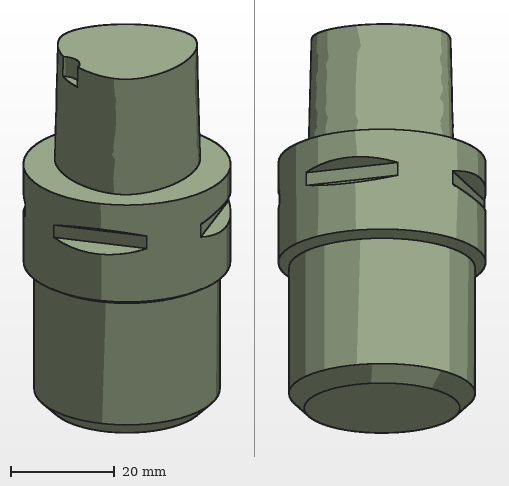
import cadquery as cq
import math

total_height = 74.0
taper_length = 24.0
collar_base = 29.7
collar_top = total_height - taper_length

collar_radius = 40.0 / 2
shank_radius = 36.0 / 2
shank_chamfer = 2.95
shoulder_angle = 60.0

lobe_base_radius = 14.05
taper_ratio = 1 / 40
lobe_top_radius = lobe_base_radius - taper_ratio * taper_length
lobe_eccentricity = 0.9
first_lobe_angle = math.radians(90)
curve_steps = 72

slot_count = 4
slot_start_angle = 45.0
slot_center_height = 42.0
slot_floor_height = 2.6
slot_floor_distance = 17.7
slot_flank_angle = 30.0

notch_radius = 3.6
notch_depth = 4.15
notch_inner_y = -10.9


def make_body():
    """Revolve the shank and the collar."""
    shoulder_width = collar_radius - shank_radius
    shoulder_base = collar_base - shoulder_width / math.tan(math.radians(shoulder_angle))
    profile = [
        (0, 0),
        (shank_radius - shank_chamfer, 0),
        (shank_radius, shank_chamfer),
        (shank_radius, shoulder_base),
        (collar_radius, collar_base),
        (collar_radius, collar_top),
        (0, collar_top),
    ]
    return cq.Workplane("XZ").polyline(profile).close().revolve(360, (0, 0), (0, 1))


def lobed_wire(mean_radius, height):
    """Closed three-lobed curve of constant width, with one lobe toward +Y."""
    def point(angle):
        phase = 3 * (angle - first_lobe_angle)
        support = mean_radius + lobe_eccentricity * math.cos(phase)
        slope = -3 * lobe_eccentricity * math.sin(phase)
        return (
            support * math.cos(angle) - slope * math.sin(angle),
            support * math.sin(angle) + slope * math.cos(angle),
        )

    points = []
    for step in range(curve_steps):
        x, y = point(2 * math.pi * step / curve_steps)
        points.append(cq.Vector(x, y, height))
    return cq.Wire.assembleEdges([cq.Edge.makeSpline(points, periodic=True)])


def make_coupling():
    """Loft the taper between its two lobed outlines and cut the notch."""
    lower = lobed_wire(lobe_base_radius, collar_top)
    upper = lobed_wire(lobe_top_radius, total_height)
    taper = cq.Workplane(cq.Solid.makeLoft([lower, upper], True))
    notch = (
        cq.Workplane("XY", origin=(0, notch_inner_y - notch_radius, total_height - notch_depth))
        .circle(notch_radius)
        .extrude(notch_depth)
    )
    return taper.cut(notch)


def make_slot_cutter():
    """Flared straight slot on the +X side, running along Y."""
    cut_depth = collar_radius - slot_floor_distance
    half_floor = slot_floor_height / 2
    half_mouth = half_floor + cut_depth * math.tan(math.radians(slot_flank_angle))
    section = [
        (slot_floor_distance, -half_floor),
        (collar_radius, -half_mouth),
        (collar_radius, half_mouth),
        (slot_floor_distance, half_floor),
    ]
    return (
        cq.Workplane("XZ", origin=(0, 0, slot_center_height))
        .polyline(section)
        .close()
        .extrude(collar_radius, both=True)
    )


result = make_body().union(make_coupling())

slot_cutter = make_slot_cutter()
for index in range(slot_count):
    angle = slot_start_angle + index * 360 / slot_count
    result = result.cut(slot_cutter.rotate((0, 0, 0), (0, 0, 1), angle))